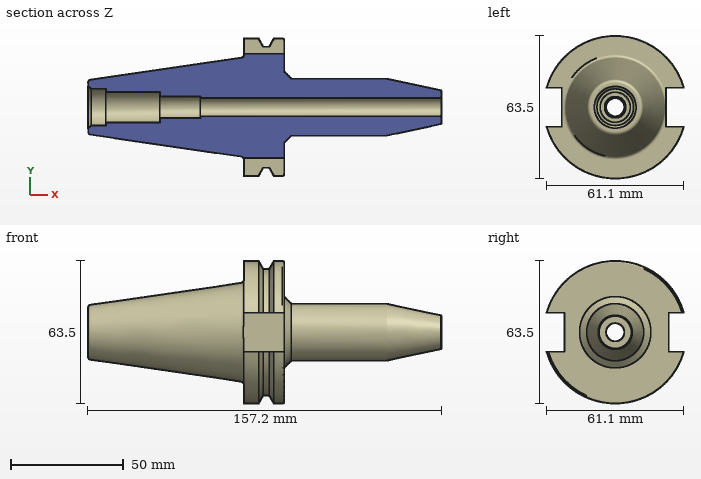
import cadquery as cq
import math

taper_large_diameter = 44.45
shank_length = 68.33
taper_rate = 7 / 24
rear_fillet = 1.5

flange_diameter = 63.5
flange_start = 1.0
flange_end = 18.97
flange_root_fillet = 1.3
flange_rim_fillet = 0.8

groove_center = 10.95
groove_floor_diameter = 56.5
groove_floor_width = 2.7
groove_wall_angle = 30

slot_width = 17.15
slot_floor_front = 22.6
slot_floor_back = 23.85

projection = 88.9
shaft_diameter = 25.4
neck_diameter = 31.75
nose_taper_length = 24.3
tip_diameter = 15.2
tip_chamfer = 0.4

mouth_diameter = 18.6
mouth_depth = 1.6
pilot_diameter = 16.26
pilot_depth = 8.0
thread_diameter = 13.39
thread_depth = 32.0
relief_diameter = 9.52
relief_depth = 50.0
through_diameter = 8.0


def revolve_about_x(points):
    """Turn a closed (x, radius) outline into a solid of revolution."""
    outline = cq.Workplane("XY").polyline(points).close()
    return outline.revolve(360, (0, 0, 0), (1, 0, 0))


def circle_edge_at(x, radius):
    """Selector for the edges at one X that lie within a radius of the axis."""
    margin = 0.01
    return cq.selectors.BoxSelector(
        (x - margin, -radius - margin, -radius - margin),
        (x + margin, radius + margin, radius + margin),
        boundingbox=True,
    )


def make_body():
    root_radius = taper_large_diameter / 2
    rear_radius = root_radius - (shank_length + flange_start) * taper_rate / 2
    rim_radius = flange_diameter / 2
    shaft_radius = shaft_diameter / 2
    neck_radius = neck_diameter / 2
    neck_length = neck_radius - shaft_radius
    tip_radius = tip_diameter / 2
    body = revolve_about_x([
        (-shank_length, 0),
        (-shank_length, rear_radius),
        (flange_start, root_radius),
        (flange_start, rim_radius),
        (flange_end, rim_radius),
        (flange_end, neck_radius),
        (flange_end + neck_length, shaft_radius),
        (projection - nose_taper_length, shaft_radius),
        (projection - tip_chamfer, tip_radius),
        (projection, tip_radius - tip_chamfer),
        (projection, 0),
    ])
    body = body.edges(circle_edge_at(-shank_length, rear_radius)).fillet(rear_fillet)
    body = body.edges(circle_edge_at(flange_start, root_radius)).fillet(flange_root_fillet)
    front_rim = cq.selectors.RadiusNthSelector(-1)
    return body.edges(circle_edge_at(flange_end, rim_radius)).edges(front_rim).fillet(flange_rim_fillet)


def make_groove():
    floor_radius = groove_floor_diameter / 2
    rim_radius = flange_diameter / 2
    half_floor = groove_floor_width / 2
    half_mouth = half_floor + (rim_radius - floor_radius) * math.tan(math.radians(groove_wall_angle))
    return revolve_about_x([
        (groove_center - half_floor, floor_radius),
        (groove_center + half_floor, floor_radius),
        (groove_center + half_mouth, rim_radius),
        (groove_center - half_mouth, rim_radius),
    ])


def make_slot(side, floor_distance):
    """Drive slot on the +Y (side = 1) or -Y (side = -1) half of the flange."""
    cut_depth = flange_diameter / 2
    center = (flange_end / 2, side * (floor_distance + cut_depth / 2), 0)
    return cq.Workplane("XY").box(flange_end, cut_depth, slot_width).translate(center)


def make_bore():
    rear = -shank_length
    return revolve_about_x([
        (rear, 0),
        (rear, mouth_diameter / 2),
        (rear + mouth_depth, pilot_diameter / 2),
        (rear + pilot_depth, pilot_diameter / 2),
        (rear + pilot_depth, thread_diameter / 2),
        (rear + thread_depth, thread_diameter / 2),
        (rear + thread_depth, relief_diameter / 2),
        (rear + relief_depth, relief_diameter / 2),
        (rear + relief_depth, through_diameter / 2),
        (projection, through_diameter / 2),
        (projection, 0),
    ])


result = make_body().cut(make_groove())
result = result.cut(make_slot(-1, slot_floor_front))
result = result.cut(make_slot(1, slot_floor_back))
result = result.cut(make_bore())